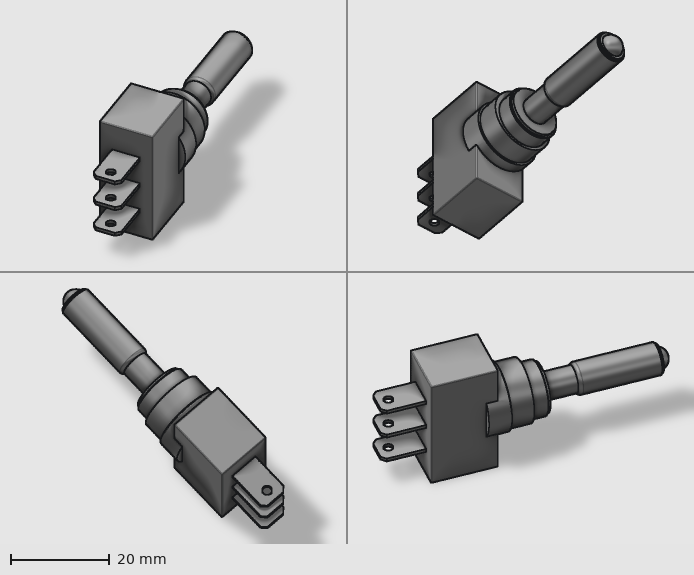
import cadquery as cq
import math

HOUSING_WIDTH = 12.0
HOUSING_DEPTH = 14.5
HOUSING_HEIGHT = 26.2
HOUSING_EDGE_ROUND = 0.2

TERMINAL_COUNT = 3
TERMINAL_PITCH = 6.5
TERMINAL_LENGTH = 9.5
TERMINAL_WIDTH = 6.3
TERMINAL_THICKNESS = 0.8
TERMINAL_CHAMFER = 1.0
TERMINAL_HOLE_DIAMETER = 2.0
TERMINAL_HOLE_FROM_END = 2.5

COLLAR_DIAMETER = 15.0
COLLAR_LENGTH = 5.0
COLLAR_OVERLAP = 2.5
SHOULDER_DIAMETER = 14.0
SHOULDER_LENGTH = 5.0
COLLAR_RAISE = 0.38
BUSHING_DIAMETER = 12.0
BUSHING_LENGTH = 3.5
BUSHING_CHAMFER = 0.1
BUSHING_TIP_DIAMETER = 11.0
BUSHING_TIP_LENGTH = 0.6

OVERALL_LENGTH = 63.0
STEM_DIAMETER = 6.0
STEM_LENGTH = 6.9
GRIP_DIAMETER = 7.0
GRIP_ROUND = 1.0
CAP_DIAMETER = 6.5
CAP_LENGTH = 0.5
CAP_CHAMFER = 0.15
DOME_RADIUS = 2.55
DOME_HEIGHT = 2.0

COLLAR_START = -COLLAR_OVERLAP
SHOULDER_START = COLLAR_START + COLLAR_LENGTH
BUSHING_START = SHOULDER_START + SHOULDER_LENGTH
BUSHING_TIP_START = BUSHING_START + BUSHING_LENGTH
STEM_START = BUSHING_TIP_START + BUSHING_TIP_LENGTH
STEM_END = STEM_START + STEM_LENGTH
DOME_TOP = OVERALL_LENGTH - HOUSING_DEPTH - TERMINAL_LENGTH
CAP_END = DOME_TOP - DOME_HEIGHT
GRIP_END = CAP_END - CAP_LENGTH


def cylinder_along_y(diameter, start, length, z=0.0):
    """Cylinder from Y = start towards +Y."""
    base = cq.Workplane("XZ", origin=(0, start, z))
    return base.circle(diameter / 2).extrude(-length)


def make_housing():
    """Box with all edges rounded."""
    box = cq.Workplane("XY").box(HOUSING_WIDTH, HOUSING_DEPTH, HOUSING_HEIGHT)
    return box.edges().fillet(HOUSING_EDGE_ROUND).translate((0, -HOUSING_DEPTH / 2, 0))


def make_terminal(z):
    """Flat blade with two clipped corners and a hole near its free end."""
    blade = (
        cq.Workplane("XY")
        .box(TERMINAL_WIDTH, TERMINAL_LENGTH, TERMINAL_THICKNESS)
        .edges("|Z and <Y")
        .chamfer(TERMINAL_CHAMFER)
    )
    hole_y = TERMINAL_HOLE_FROM_END - TERMINAL_LENGTH / 2
    hole = (
        cq.Workplane("XY")
        .center(0, hole_y)
        .circle(TERMINAL_HOLE_DIAMETER / 2)
        .extrude(TERMINAL_THICKNESS, both=True)
    )
    return blade.cut(hole).translate((0, -HOUSING_DEPTH - TERMINAL_LENGTH / 2, z))


def make_collar():
    """Collar and shoulder, on an axis slightly above the lever axis."""
    collar = cylinder_along_y(COLLAR_DIAMETER, COLLAR_START, COLLAR_LENGTH, COLLAR_RAISE)
    shoulder = cylinder_along_y(SHOULDER_DIAMETER, SHOULDER_START, SHOULDER_LENGTH, COLLAR_RAISE)
    return collar.union(shoulder)


def make_bushing():
    """Bushing with a chamfered front edge and a narrower tip, on the lever axis."""
    bushing = cylinder_along_y(BUSHING_DIAMETER, BUSHING_START, BUSHING_LENGTH)
    bushing = bushing.faces(">Y").chamfer(BUSHING_CHAMFER)
    tip = cylinder_along_y(BUSHING_TIP_DIAMETER, BUSHING_TIP_START, BUSHING_TIP_LENGTH)
    return bushing.union(tip)


def make_lever():
    """Stem, grip, stepped cap and dome as one profile turned about the Y axis."""
    stem_radius = STEM_DIAMETER / 2
    grip_radius = GRIP_DIAMETER / 2
    cap_radius = CAP_DIAMETER / 2

    round_centre_radius = grip_radius - GRIP_ROUND
    meet_angle = math.acos((stem_radius - round_centre_radius) / GRIP_ROUND)
    round_end = STEM_END + GRIP_ROUND * math.sin(meet_angle)
    round_middle = (
        round_centre_radius + GRIP_ROUND * math.cos(meet_angle / 2),
        round_end - GRIP_ROUND * math.sin(meet_angle / 2),
    )

    dome_centre = DOME_TOP - DOME_RADIUS
    dome_foot_angle = math.asin((CAP_END - dome_centre) / DOME_RADIUS)
    dome_middle_angle = (dome_foot_angle + math.pi / 2) / 2
    dome_foot = (DOME_RADIUS * math.cos(dome_foot_angle), CAP_END)
    dome_middle = (
        DOME_RADIUS * math.cos(dome_middle_angle),
        dome_centre + DOME_RADIUS * math.sin(dome_middle_angle),
    )

    profile = (
        cq.Workplane("XY")
        .moveTo(0, STEM_START)
        .lineTo(stem_radius, STEM_START)
        .lineTo(stem_radius, STEM_END)
        .threePointArc(round_middle, (grip_radius, round_end))
        .lineTo(grip_radius, GRIP_END)
        .lineTo(cap_radius, GRIP_END)
        .lineTo(cap_radius, CAP_END - CAP_CHAMFER)
        .lineTo(cap_radius - CAP_CHAMFER, CAP_END)
        .lineTo(*dome_foot)
        .threePointArc(dome_middle, (0, DOME_TOP))
        .close()
    )
    return profile.revolve(360, (0, 0, 0), (0, 1, 0))


switch = make_housing()
for index in range(TERMINAL_COUNT):
    terminal_z = (index - (TERMINAL_COUNT - 1) / 2) * TERMINAL_PITCH
    switch = switch.union(make_terminal(terminal_z))
result = switch.union(make_collar()).union(make_bushing()).union(make_lever())